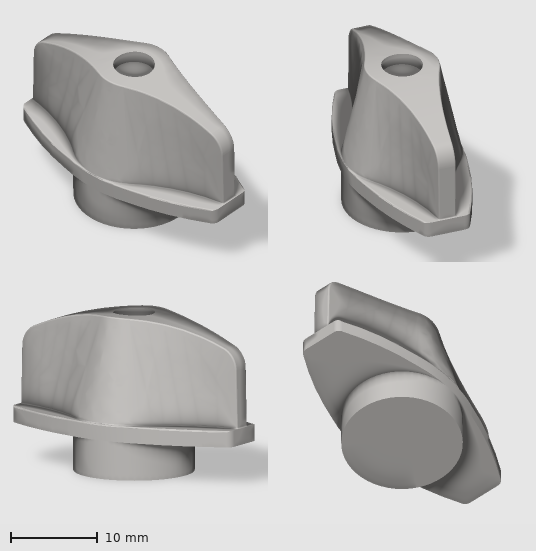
import cadquery as cq
import math

length = 30.0
width = 14.0
height = 18.5

boss_radius = width / 2
boss_height = 4.5

plate_top = 6.42
plate_half_width = width / 2
plate_joint = (4.98, 6.33)
plate_corner = (length / 2, 2.6)
plate_side_radius = 37.2
plate_corner_radius = 0.9
plate_edge_fillet = 0.18

base_round_angle = 38.0
base_end = (14.82, 1.05)
top_section_rise = 0.3
top_section_level = height + top_section_rise
top_round_radius = 4.3
top_round_angle = 25.0
top_end = (14.55, 1.1)

crown_radius = 31.95
crown_corner_radius = 2.75
grip_edge_fillet = 0.18
root_fillet = 0.15

hole_diameter = 4.8
hole_depth = 1.5

selection_margin = 0.3


def arc_middle(start, end, radius):
    """Middle point of the arc from start to end that bulges to the left of travel."""
    dx = end[0] - start[0]
    dy = end[1] - start[1]
    chord = math.hypot(dx, dy)
    rise = radius - math.sqrt(radius**2 - (chord / 2) ** 2)
    middle_x = (start[0] + end[0]) / 2 - dy / chord * rise
    middle_y = (start[1] + end[1]) / 2 + dx / chord * rise
    return middle_x, middle_y


def lens_wire(level, half_width, joint, flank, end):
    """Closed outline, alike in all four quarters: a round middle, arc flanks and flat ends.

    The round middle meets the flank at joint, and flank is a point halfway along the flank.
    """
    return (
        cq.Workplane("XY", origin=(0, 0, level))
        .moveTo(-joint[0], joint[1])
        .threePointArc((0, half_width), joint)
        .threePointArc(flank, end)
        .lineTo(end[0], -end[1])
        .threePointArc((flank[0], -flank[1]), (joint[0], -joint[1]))
        .threePointArc((0, -half_width), (-joint[0], -joint[1]))
        .threePointArc((-flank[0], -flank[1]), (-end[0], -end[1]))
        .lineTo(-end[0], end[1])
        .threePointArc((-flank[0], flank[1]), (-joint[0], joint[1]))
        .close()
        .val()
    )


def grip_wire(level, round_radius, round_angle, end):
    """Grip outline whose hollow flanks leave the round middle tangentially."""
    angle = math.radians(round_angle)
    joint = (round_radius * math.sin(angle), round_radius * math.cos(angle))
    dx = end[0] - joint[0]
    dy = end[1] - joint[1]
    half_turn = angle - math.atan2(-dy, dx)
    flank_radius = math.hypot(dx, dy) / 2 / math.sin(half_turn)
    flank = arc_middle(end, joint, flank_radius)
    return lens_wire(level, round_radius, joint, flank, end)


def plate_wire(level):
    flank = arc_middle(plate_joint, plate_corner, plate_side_radius)
    return lens_wire(level, plate_half_width, plate_joint, flank, plate_corner)


def ruled_solid(lower_wire, upper_wire):
    return cq.Workplane(cq.Solid.makeLoft([lower_wire, upper_wire], True))


def outline_prism(bottom, top):
    """Upright prism on the plate outline, with sharp corners."""
    return cq.Workplane("XY").add(plate_wire(bottom)).toPending().extrude(top - bottom)


def rounded_prism(bottom, top):
    """Upright prism on the plate outline, with rounded corners."""
    return outline_prism(bottom, top).edges("|Z").edges("<X or >X").fillet(plate_corner_radius)


def make_plate():
    plate = outline_prism(boss_height, plate_top)
    top_arcs = plate.faces(">Z").edges("%CIRCLE")
    flanks = top_arcs.filter(lambda edge: abs(edge.Center().x) > plate_joint[0])
    plate = flanks.fillet(plate_edge_fillet)
    return plate.intersect(rounded_prism(boss_height, plate_top))


def make_grip():
    grip_base = grip_wire(plate_top, boss_radius, base_round_angle, base_end)
    grip_top = grip_wire(top_section_level, top_round_radius, top_round_angle, top_end)
    side_drop = crown_radius - math.sqrt(crown_radius**2 - (length / 2) ** 2)
    side_profile = (
        cq.Workplane("XZ", origin=(0, width / 2, 0))
        .moveTo(-length / 2, 0)
        .lineTo(length / 2, 0)
        .lineTo(length / 2, height - side_drop)
        .threePointArc((0, height), (-length / 2, height - side_drop))
        .close()
        .extrude(width)
    )
    grip = ruled_solid(grip_base, grip_top).intersect(side_profile)
    crown_ends = cq.selectors.BoxSelector(
        (-length, -selection_margin, plate_top + selection_margin),
        (length, selection_margin, height),
    )
    grip = grip.edges(crown_ends).fillet(crown_corner_radius)
    return grip.faces(">Z").edges("<Y or >Y").fillet(grip_edge_fillet)


def flare_foot(grip):
    """Add the root fillet at the foot of the grip, trimmed to the plate outline."""
    slab = (
        cq.Workplane("XY", origin=(0, 0, boss_height))
        .rect(2 * length, 2 * width)
        .extrude(plate_top - boss_height)
    )
    foot = cq.selectors.BoxSelector(
        (-length, -width, plate_top - selection_margin),
        (length, width, plate_top + selection_margin),
    )
    flared = slab.union(grip).edges(foot).edges("%CIRCLE").fillet(root_fillet)
    return flared.intersect(rounded_prism(plate_top, height))


def make_hole():
    floor = height - hole_depth
    return cq.Workplane("XY", origin=(0, 0, floor)).circle(hole_diameter / 2).extrude(hole_depth)


boss = cq.Workplane("XY").circle(boss_radius).extrude(boss_height)
knob = make_plate().union(flare_foot(make_grip())).union(boss)
result = knob.cut(make_hole())